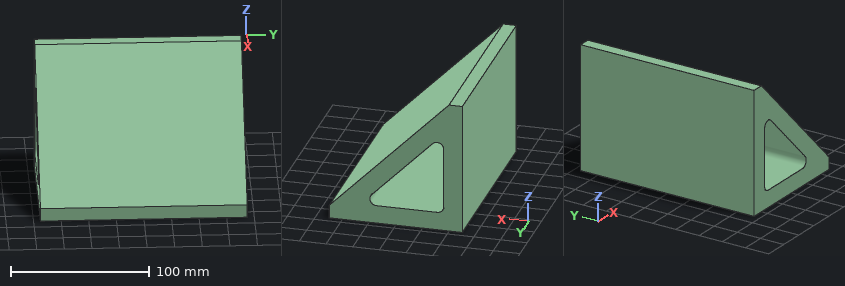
import cadquery as cq
import math

length = 150.0
leg = length * 2 / 3
tip_width = leg / 10
wall = 14.0
corner_radius = 5.0

body = (
    cq.Workplane("XZ")
    .polyline([(0, 0), (leg, 0), (leg, tip_width), (tip_width, leg), (0, leg)])
    .close()
    .extrude(-length)
)

slope_intercept = leg + tip_width - wall * math.sqrt(2)
opening_end = slope_intercept - wall
opening = (
    cq.Workplane("XZ")
    .polyline([(wall, wall), (opening_end, wall), (wall, opening_end)])
    .close()
    .extrude(-length)
    .edges("|Y")
    .fillet(corner_radius)
)

result = body.cut(opening)